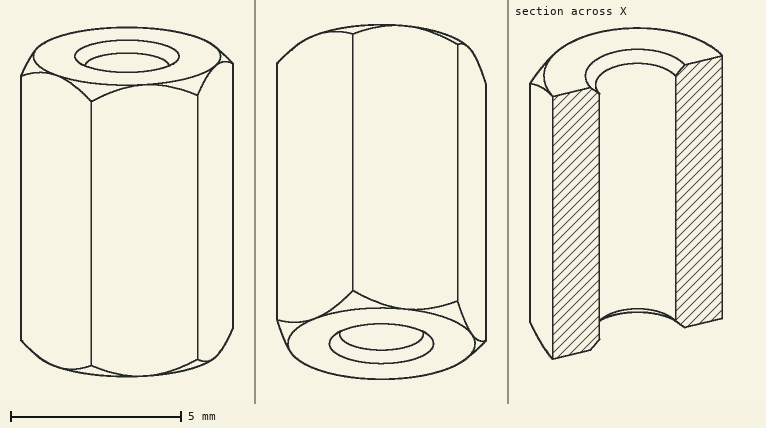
import cadquery as cq
import math

length = 9.0
across_flats = 5.5
across_corners = across_flats / math.cos(math.pi / 6)
bore_diameter = 2.46
countersink_diameter = 3.06

corner_chamfer = (across_corners - across_flats) / 2
countersink_depth = (countersink_diameter - bore_diameter) / 2


def hexagonal_body():
    """Hexagonal bar whose corners are turned down to the flats at both ends."""
    bar = cq.Workplane("XY").polygon(6, across_corners).extrude(length)
    turned_envelope = (
        cq.Workplane("XY")
        .circle(across_corners / 2)
        .extrude(length)
        .faces("<Z or >Z")
        .chamfer(corner_chamfer)
    )
    return bar.intersect(turned_envelope)


def countersunk_bore():
    """Cutter for the through bore, flared at both ends."""
    bore_radius = bore_diameter / 2
    countersink_radius = countersink_diameter / 2
    half_section = [
        (0, 0),
        (countersink_radius, 0),
        (bore_radius, countersink_depth),
        (bore_radius, length - countersink_depth),
        (countersink_radius, length),
        (0, length),
    ]
    return cq.Workplane("XZ").polyline(half_section).close().revolve(360, (0, 0), (0, 1))


result = hexagonal_body().cut(countersunk_bore())